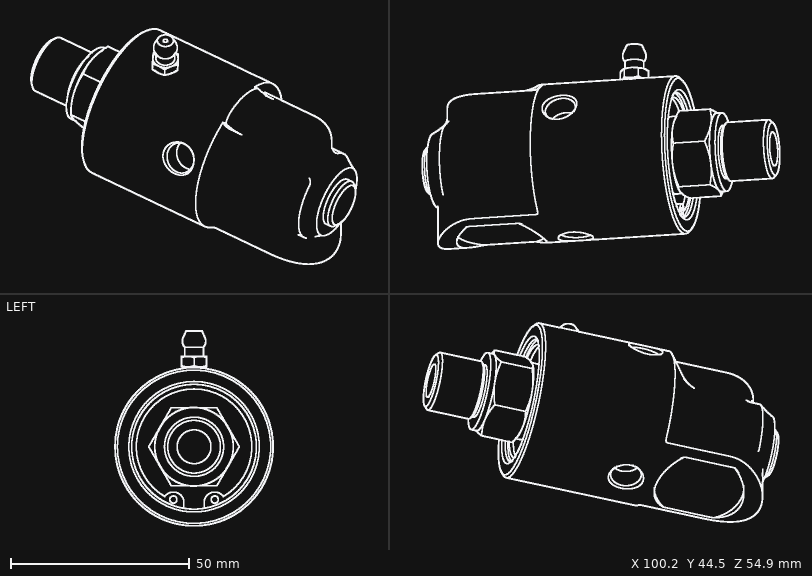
import cadquery as cq
import math

total_length = 100.2

thread_dia = 16.6
thread_chamfer = 0.9
thread_run_out = 0.6
thread_end = 13.4
groove_dia = 15.0
flange_start = 14.2
flange_dia = 22.2
hex_start = 15.8
hex_end = 26.9
hex_flats = 22.1
collar_dia = 21.9
hex_bevel_angle = 30.0
bore_dia = 9.5
bore_depth = 90.2

body_dia = 44.5
body_start = 26.3
body_end = 64.9
body_chamfer = 0.7
recess_dia = 35.1
recess_depth = 2.8
mouth_dia = 36.7

ring_inner_dia = 32.5
ring_thickness = 1.2
lug_dia = 6.0
lug_hole_dia = 2.0
lug_y = 5.8
lug_z = -15.7
lug_hole_z = -14.8
ring_gap = 5.7

hole_x = 57.2
hole_dia = 8.6
hole_mouth_dia = 9.9
hole_mouth_depth = 1.3
hole_depth = 7.0
hole_angles = (30.0, 150.0, 270.0)

cone_end = 69.5
flare_end = 77.4
tail_dia = 26.1
tail_end = 93.5
cap_edge_x = 96.0
cap_edge_dia = 22.7
cap_end = 97.8
cap_dia = 20.8
disc_dia = 13.9
disc_chamfer = 0.9

boss_round_x = 84.0
upper_width = 20.3
upper_top = 19.2
edge_fillet = 2.0
upper_root_fillet = 3.0
ramp_radius = 10.0
lower_width = 25.6
lower_root_fillet = 1.0
spot_face_x = 78.7
spot_face_dia = 25.3
spot_face_z = -19.7

nipple_x = 40.3
nipple_flats = 7.1
nipple_root_depth = 1.0
nipple_foot_dia = 6.3
nipple_hex_bottom = 22.5
nipple_hex_top = 25.4
nipple_neck_dia = 5.3
nipple_neck_top = 28.0
nipple_head_dia = 6.6
nipple_shoulder_dia = 6.3
nipple_head_z = 30.6
nipple_tip_dia = 4.5
nipple_top = 32.6
nipple_hole_dia = 1.2
nipple_hole_depth = 2.0

body_radius = body_dia / 2
tail_radius = tail_dia / 2
recess_floor = body_start + recess_depth
overlap = 6.0
root_x = body_end - overlap
tolerance = 0.001

cone_length = cone_end - body_end
flare_length = flare_end - cone_end
half_tan = 0.5
for step in range(40):
    half_tan = (body_radius - tail_radius) / (2 * cone_length / (1 - half_tan**2) + flare_length)
cone_angle = 2 * math.atan(half_tan)


def cone_radius(x):
    return body_radius - (x - body_end) * math.tan(cone_angle)


def x_cylinder(dia, start, end, y=0, z=0):
    return cq.Workplane("YZ", origin=(start, y, z)).circle(dia / 2).extrude(end - start)


def turned(profile):
    """Revolve a half profile drawn in the XZ plane about the X axis."""
    return profile.close().revolve(360, (0, 0, 0), (1, 0, 0))


def make_tail_core():
    flare_radius = flare_length / math.sin(cone_angle)
    flare_mid = (
        flare_end - flare_radius * math.sin(cone_angle / 2),
        tail_radius + flare_radius * (1 - math.cos(cone_angle / 2)),
    )
    return turned(
        cq.Workplane("XZ")
        .moveTo(root_x, 0)
        .lineTo(root_x, cone_radius(root_x))
        .lineTo(cone_end, cone_radius(cone_end))
        .threePointArc(flare_mid, (flare_end, tail_radius))
        .lineTo(tail_end, tail_radius)
        .lineTo(cap_edge_x, cap_edge_dia / 2)
        .lineTo(cap_end, cap_dia / 2)
        .lineTo(cap_end, 0)
    )


def make_boss(width, z_low, z_high):
    """Upright block reaching out of the body, with a full round at its far end."""
    half = width / 2
    return (
        cq.Workplane("XY", origin=(0, 0, z_low))
        .moveTo(root_x, -half)
        .lineTo(boss_round_x, -half)
        .threePointArc((boss_round_x + half, 0), (boss_round_x, half))
        .lineTo(root_x, half)
        .close()
        .extrude(z_high - z_low)
    )


def join_boss(core, boss, fillet):
    """Add a boss to the core and fillet the edges where their surfaces meet."""
    core_skin = core.val().Shells()[0]
    boss_skin = boss.val().Shells()[0]
    joined = core.union(boss)
    root_edges = []
    for edge in joined.edges().vals():
        middle = edge.positionAt(0.5)
        point = cq.Vertex.makeVertex(*middle.toTuple())
        on_both = max(core_skin.distance(point), boss_skin.distance(point)) < tolerance
        if on_both and middle.x > root_x + tolerance:
            root_edges.append(edge)
    return joined.newObject(root_edges).fillet(fillet)


def make_ramp(core):
    """Concave blend between the cone and the flat top of the upper boss."""
    flat_width = upper_width - 2 * edge_fillet
    boss = make_boss(flat_width, 0, upper_top)
    front_of_top = cq.selectors.BoxSelector(
        (body_end, -flat_width, upper_top - tolerance),
        (cone_end, flat_width, upper_top + tolerance),
        boundingbox=True,
    )
    blend = core.union(boss).edges(front_of_top).fillet(ramp_radius)
    return blend.intersect(make_boss(flat_width, 0, body_radius))


def make_tail():
    core = make_tail_core()
    upper_boss = make_boss(upper_width, 0, upper_top).faces(">Z").edges("not <X").fillet(edge_fillet)
    lower_boss = make_boss(lower_width, -body_radius - overlap, 0)
    tail = join_boss(core, lower_boss, lower_root_fillet)
    tail = join_boss(tail, upper_boss, upper_root_fillet)
    tail = tail.union(make_ramp(core))
    tail = tail.intersect(x_cylinder(body_dia, root_x, cap_end))
    spot_face = (
        cq.Workplane("XY", origin=(spot_face_x, 0, spot_face_z))
        .circle(spot_face_dia / 2)
        .extrude(-body_radius)
    )
    disc = x_cylinder(disc_dia, cap_end - overlap, total_length).faces(">X").chamfer(disc_chamfer)
    return tail.cut(spot_face).union(disc)


def make_snap_ring():
    front = recess_floor - ring_thickness
    ring = x_cylinder(recess_dia, front, recess_floor).cut(x_cylinder(ring_inner_dia, front, recess_floor))
    for side in (-1, 1):
        lug = x_cylinder(lug_dia, front, recess_floor, side * lug_y, lug_z)
        ring = ring.union(lug.intersect(x_cylinder(recess_dia, front, recess_floor)))
    gap = cq.Workplane("XY").box(total_length, ring_gap, body_dia).translate((front, 0, -body_radius))
    ring = ring.cut(gap)
    for side in (-1, 1):
        ring = ring.cut(x_cylinder(lug_hole_dia, front, recess_floor, side * lug_y, lug_hole_z))
    return ring


def make_body():
    body = x_cylinder(body_dia, body_start, body_end).faces("<X").chamfer(body_chamfer)
    recess = x_cylinder(recess_dia, body_start, recess_floor)
    mouth_depth = (mouth_dia - recess_dia) / 2
    mouth = turned(
        cq.Workplane("XZ")
        .moveTo(body_start, 0)
        .lineTo(body_start, mouth_dia / 2)
        .lineTo(body_start + mouth_depth, recess_dia / 2)
        .lineTo(body_start + mouth_depth, 0)
    )
    return body.cut(recess).cut(mouth).union(make_snap_ring())


def make_radial_hole(angle):
    hole = (
        cq.Workplane("XY", origin=(hole_x, 0, body_radius - hole_depth))
        .circle(hole_dia / 2)
        .extrude(hole_depth + overlap)
    )
    mouth = (
        cq.Workplane("XY", origin=(hole_x, 0, body_radius - hole_mouth_depth))
        .circle(hole_dia / 2)
        .workplane(offset=hole_mouth_depth)
        .circle(hole_mouth_dia / 2)
        .loft(ruled=True)
    )
    return hole.union(mouth).rotate((0, 0, 0), (1, 0, 0), angle - 90)


def make_hexagon(flats, height):
    """Hexagon standing on Z = 0 with corners on X, its corners bevelled at both ends."""
    corners = flats / math.cos(math.pi / 6)
    bevel_depth = (corners - flats) / 2
    bevel_height = bevel_depth * math.tan(math.radians(hex_bevel_angle))
    envelope = (
        cq.Workplane("XZ")
        .lineTo(flats / 2, 0)
        .lineTo(corners / 2, bevel_height)
        .lineTo(corners / 2, height - bevel_height)
        .lineTo(flats / 2, height)
        .lineTo(0, height)
        .close()
        .revolve(360, (0, 0, 0), (0, 1, 0))
    )
    return cq.Workplane("XY").polygon(6, corners).extrude(height).intersect(envelope)


def make_shaft():
    thread = x_cylinder(thread_dia, 0, thread_end)
    thread = thread.faces("<X").chamfer(thread_chamfer).faces(">X").chamfer(thread_run_out)
    core = x_cylinder(groove_dia, thread_end - overlap, recess_floor + overlap)
    flange = x_cylinder(flange_dia, flange_start, hex_start)
    collar = x_cylinder(collar_dia, hex_start, recess_floor)
    hexagon = (
        make_hexagon(hex_flats, hex_end - hex_start)
        .rotate((0, 0, 0), (0, 1, 0), 90)
        .rotate((0, 0, 0), (1, 0, 0), 90)
        .translate((hex_start, 0, 0))
    )
    return thread.union(core).union(flange).union(collar).union(hexagon)


def make_nipple():
    hexagon = make_hexagon(nipple_flats, nipple_hex_top - nipple_hex_bottom)
    hexagon = hexagon.translate((nipple_x, 0, nipple_hex_bottom))
    root_z = body_radius - nipple_root_depth
    head_middle = (nipple_neck_top + nipple_head_z) / 2
    stem = (
        cq.Workplane("XZ")
        .moveTo(0, root_z)
        .lineTo(nipple_foot_dia / 2, root_z)
        .lineTo(nipple_foot_dia / 2, nipple_hex_bottom)
        .lineTo(nipple_neck_dia / 2, nipple_hex_bottom)
        .lineTo(nipple_neck_dia / 2, nipple_neck_top)
        .threePointArc((nipple_head_dia / 2, head_middle), (nipple_shoulder_dia / 2, nipple_head_z))
        .lineTo(nipple_tip_dia / 2, nipple_top)
        .lineTo(0, nipple_top)
        .close()
        .revolve(360, (0, 0, 0), (0, 1, 0))
        .translate((nipple_x, 0, 0))
    )
    hole = (
        cq.Workplane("XY", origin=(nipple_x, 0, nipple_top))
        .circle(nipple_hole_dia / 2)
        .extrude(-nipple_hole_depth)
    )
    return hexagon.union(stem).cut(hole)


result = make_body().union(make_tail()).union(make_shaft())
for hole_angle in hole_angles:
    result = result.cut(make_radial_hole(hole_angle))
result = result.cut(x_cylinder(bore_dia, 0, bore_depth)).union(make_nipple())